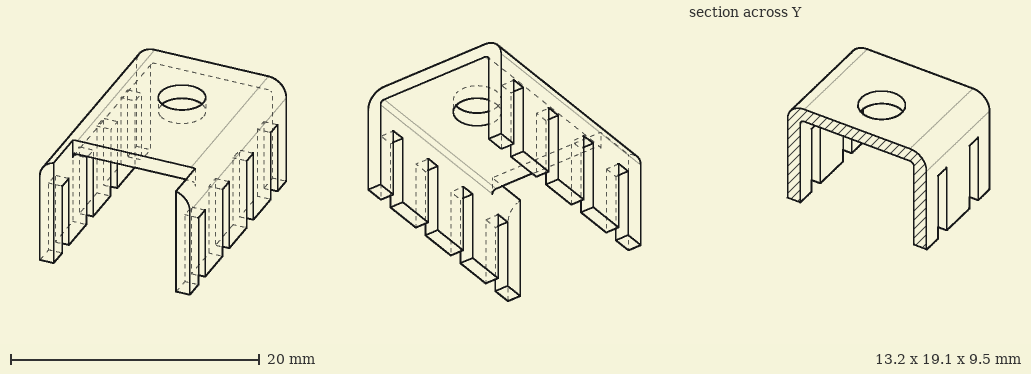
import cadquery as cq

width = 13.2
length = 19.1
height = 9.5

wall_thickness = 1.23
plate_thickness = 1.27
outer_bend_radius = 1.6
inner_bend_radius = outer_bend_radius - wall_thickness

plate_setback = 3.81
hole_diameter = 3.81
hole_from_back = 5.8

slot_count = 4
slot_width = 1.3
slot_height = 6.3
slot_pitch = length / slot_count

inner_width = width - 2 * wall_thickness
inner_height = height - plate_thickness


def rounded_block(block_width, block_height, bend_radius):
    """Full-length block standing on Z = 0 with its two long top edges rounded."""
    return (
        cq.Workplane("XY")
        .box(block_width, length, block_height, centered=(True, True, False))
        .edges("|Y and >Z")
        .fillet(bend_radius)
    )


def bent_channel():
    """Inverted U of bent sheet, open at the bottom and at both ends."""
    outside = rounded_block(width, height, outer_bend_radius)
    inside = rounded_block(inner_width, inner_height, inner_bend_radius)
    return outside.cut(inside)


def front_notch():
    """Opening between the side walls where the top plate is set back."""
    return (
        cq.Workplane("XY")
        .box(inner_width, plate_setback, height, centered=(True, False, False))
        .translate((0, -length / 2, 0))
    )


def mounting_hole():
    """Round hole through the top plate."""
    return (
        cq.Workplane("XY")
        .center(0, length / 2 - hole_from_back)
        .circle(hole_diameter / 2)
        .extrude(height)
    )


def fin_slots():
    """Evenly spaced slots, open at the bottom, across both side walls."""
    return (
        cq.Workplane("XY")
        .rarray(width, slot_pitch, 1, slot_count)
        .rect(width, slot_width)
        .extrude(slot_height)
    )


result = bent_channel().cut(front_notch()).cut(mounting_hole()).cut(fin_slots())